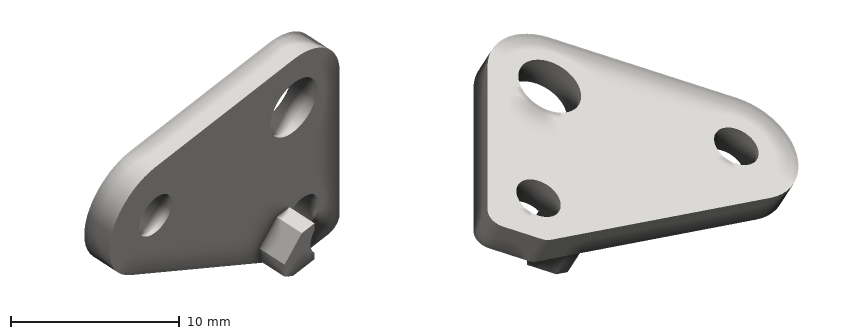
import cadquery as cq
import math

thickness = 2.0
arm_length = 12.15
corner_radius = 4.05
plate_height = 17.0
foot_radius = 1.0
foot_corner_y = 0.2

pivot_diameter = 4.1
small_diameter = 2.9
lower_hole_y = 0.73
lower_hole_z = -9.64

block_height = 2.0
block_inner_y = -0.36
block_outer_y = -3.0
block_top_z = -8.12
block_bottom_z = -11.14
block_chamfer = 1.52
block_side_bottom_z = -10.65

bottom_z = corner_radius - plate_height
select_margin = 0.2

to_foot_y = foot_corner_y + arm_length
foot_distance = math.hypot(to_foot_y, bottom_z)
tangent_angle = math.atan2(bottom_z, to_foot_y) - math.acos(corner_radius / foot_distance)
tangent_y = -arm_length + corner_radius * math.cos(tangent_angle)
tangent_z = corner_radius * math.sin(tangent_angle)
edge_slope = (tangent_z - bottom_z) / (foot_corner_y - tangent_y)

arc_mid = corner_radius * math.sqrt(0.5)


def make_plate():
    outline = (
        cq.Workplane("YZ")
        .moveTo(corner_radius, bottom_z)
        .lineTo(corner_radius, 0)
        .threePointArc((arc_mid, arc_mid), (0, corner_radius))
        .lineTo(-arm_length, corner_radius)
        .threePointArc((-arm_length - corner_radius, 0), (tangent_y, tangent_z))
        .lineTo(foot_corner_y, bottom_z)
        .close()
    )
    plate = outline.extrude(thickness)
    foot_edges = cq.selectors.BoxSelector(
        (-select_margin, foot_corner_y - select_margin, bottom_z - select_margin),
        (thickness + select_margin, corner_radius + select_margin, bottom_z + select_margin),
    )
    return plate.edges("|X").edges(foot_edges).fillet(foot_radius)


def make_block():
    bevel_width = (block_side_bottom_z - block_bottom_z) / edge_slope
    return (
        cq.Workplane("YZ", origin=(thickness, 0, 0))
        .polyline([
            (block_inner_y, block_top_z),
            (block_outer_y + block_chamfer, block_top_z),
            (block_outer_y, block_top_z - block_chamfer),
            (block_outer_y, block_side_bottom_z),
            (block_outer_y + bevel_width, block_bottom_z),
            (block_inner_y, block_bottom_z),
        ])
        .close()
        .extrude(block_height)
    )


def make_hole(y, z, diameter):
    return (
        cq.Workplane("YZ")
        .center(y, z)
        .circle(diameter / 2)
        .extrude(thickness + block_height)
    )


result = make_plate().union(make_block())

for hole_y, hole_z, hole_diameter in [
    (0, 0, pivot_diameter),
    (-arm_length, 0, small_diameter),
    (lower_hole_y, lower_hole_z, small_diameter),
]:
    result = result.cut(make_hole(hole_y, hole_z, hole_diameter))